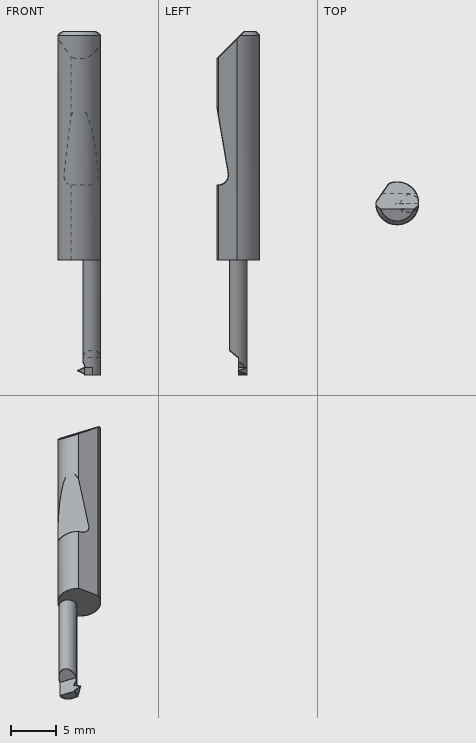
import cadquery as cq
import math

total_length = 38.1
shank_diameter = 4.75
shank_radius = shank_diameter / 2
neck_length = 12.75
neck_diameter = 2.0
neck_radius = neck_diameter / 2
neck_x = shank_radius - neck_radius

end_chamfer = 0.42
end_slope_y = -0.65
flat_distance = 2.02
flat_direction = 145.0
notch_top_z = 29.8
notch_bottom_z = 21.07
notch_floor_y = 1.1
notch_radius = 1.15
notch_slope = 10.0

rake_cut_top_z = 2.75
rake_cut_bottom_z = 1.95
tip_block_left_x = 0.6
tip_block_right_x = 1.5
tip_block_height = 0.88
tooth_point_x = -0.2
tooth_point_z = 0.5
tooth_root_bottom_z = 0.1
relief_top_z = 1.5
relief_depth = 0.25

clearance = 7.62


def extrude_along_x(outline):
    """Extrude a YZ outline through the full width of the part."""
    return outline.close().extrude(clearance, both=True)


def make_shank():
    shank = (
        cq.Workplane("XY", origin=(0, 0, neck_length))
        .circle(shank_radius)
        .extrude(total_length - neck_length)
        .faces(">Z")
        .chamfer(end_chamfer)
    )
    return shank.cut(end_slope()).cut(side_flat()).cut(clamping_notch())


def end_slope():
    """45 degree slope across the +Y side of the shank end."""
    outline = (
        cq.Workplane("YZ")
        .moveTo(end_slope_y, total_length)
        .line(clearance, -clearance)
        .line(0, clearance)
    )
    return extrude_along_x(outline)


def side_flat():
    """Lengthwise flat on the -X, +Y side of the shank."""
    return (
        cq.Workplane("XY")
        .center(flat_distance + clearance / 2, 0)
        .rect(clearance, clearance)
        .extrude(total_length)
        .rotate((0, 0, 0), (0, 0, 1), flat_direction)
    )


def clamping_notch():
    """Sloping notch in the +Y side, ending in a round corner."""
    slope = math.radians(notch_slope)
    center_y = notch_floor_y + notch_radius
    center_z = notch_bottom_z + notch_radius
    tangent_y = center_y - notch_radius * math.cos(slope)
    tangent_z = center_z + notch_radius * math.sin(slope)
    middle_angle = (math.pi - slope + 3 * math.pi / 2) / 2
    outer_y = shank_radius + notch_radius
    outer_z = notch_top_z + notch_radius / math.tan(slope)
    outline = (
        cq.Workplane("YZ")
        .moveTo(outer_y, outer_z)
        .lineTo(shank_radius, notch_top_z)
        .lineTo(tangent_y, tangent_z)
        .threePointArc(
            (
                center_y + notch_radius * math.cos(middle_angle),
                center_z + notch_radius * math.sin(middle_angle),
            ),
            (center_y, notch_bottom_z),
        )
        .lineTo(outer_y, notch_bottom_z)
    )
    return extrude_along_x(outline)


def make_neck():
    neck = cq.Workplane("XY").center(neck_x, 0).circle(neck_radius).extrude(neck_length)
    rake_cut = extrude_along_x(
        cq.Workplane("YZ")
        .moveTo(0, 0)
        .lineTo(0, rake_cut_bottom_z)
        .lineTo(neck_radius, rake_cut_top_z)
        .lineTo(neck_radius, 0)
    )
    neck_left_x = neck_x - neck_radius
    relief = (
        cq.Workplane("XZ")
        .moveTo(neck_left_x, relief_top_z)
        .lineTo(neck_left_x + relief_depth, tip_block_height)
        .lineTo(neck_left_x + relief_depth, 0)
        .lineTo(neck_left_x, 0)
        .close()
        .extrude(neck_radius)
    )
    return neck.cut(rake_cut).cut(relief)


def make_tip_block():
    return cq.Workplane("XY").box(
        tip_block_right_x - tip_block_left_x, neck_radius, tip_block_height, centered=False
    ).translate((tip_block_left_x, -neck_radius, 0))


def make_tooth():
    """Pointed tooth with its cutting face at Y = 0, tapering back to the block."""
    tooth = (
        cq.Workplane("XZ")
        .moveTo(tooth_point_x, tooth_point_z)
        .lineTo(tip_block_left_x, tip_block_height)
        .lineTo(neck_x, tip_block_height)
        .lineTo(neck_x, tooth_root_bottom_z)
        .lineTo(tip_block_left_x, tooth_root_bottom_z)
        .close()
        .extrude(neck_radius)
    )
    side_relief = (
        cq.Workplane("XY")
        .moveTo(tooth_point_x, 0)
        .lineTo(tip_block_left_x, -neck_radius)
        .lineTo(tooth_point_x, -neck_radius)
        .close()
        .extrude(tip_block_height)
    )
    return tooth.cut(side_relief)


result = make_shank().union(make_neck()).union(make_tip_block()).union(make_tooth())